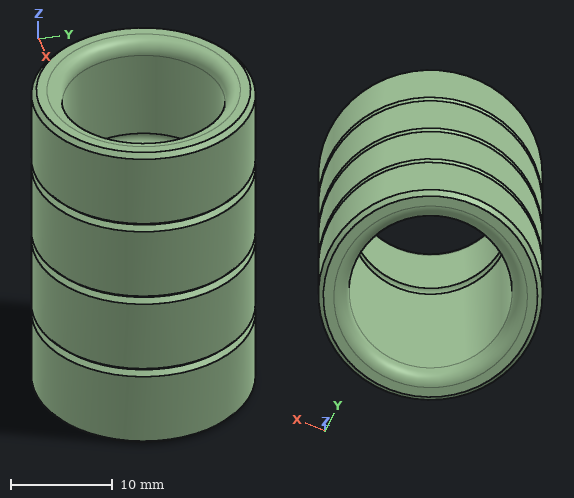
import cadquery as cq

height = 35.0
outer_diameter = 22.0
bore_diameter = 16.0
edge_chamfer = 0.5
bore_mouth_radius = 1.5

band_count = 4
groove_depth = 0.5
groove_half_width = 0.5

bore_groove_start = 10.95
bore_groove_radius = 0.85

outer_radius = outer_diameter / 2
bore_radius = bore_diameter / 2
band_height = height / band_count


def sleeve():
    """Tube with chamfered outer rims and rounded bore mouths."""
    body = cq.Workplane("XY").circle(outer_radius).extrude(height)
    body = body.faces("<Z or >Z").edges().chamfer(edge_chamfer)
    body = body.cut(cq.Workplane("XY").circle(bore_radius).extrude(height))
    return body.edges(cq.selectors.RadiusNthSelector(0)).fillet(bore_mouth_radius)


def groove_cutter(z):
    """Ring with a V section whose point faces the axis, centred at height z."""
    return (
        cq.Workplane("XZ")
        .moveTo(outer_radius - groove_depth, z)
        .lineTo(outer_radius, z + groove_half_width)
        .lineTo(outer_radius, z - groove_half_width)
        .close()
        .revolve(360, (0, 0, 0), (0, 1, 0))
    )


def bore_groove_cutter():
    """Ring with a half-round section sunk into the bore wall."""
    groove_top = height - bore_groove_start
    return (
        cq.Workplane("XZ")
        .moveTo(bore_radius, groove_top)
        .threePointArc(
            (bore_radius + bore_groove_radius, groove_top - bore_groove_radius),
            (bore_radius, groove_top - 2 * bore_groove_radius),
        )
        .close()
        .revolve(360, (0, 0, 0), (0, 1, 0))
    )


result = sleeve().cut(bore_groove_cutter())
for index in range(1, band_count):
    result = result.cut(groove_cutter(index * band_height))